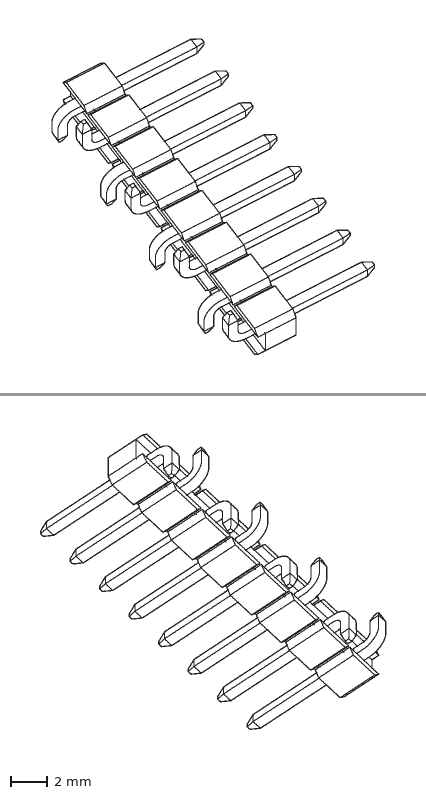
import cadquery as cq
import math

pin_count = 8
pitch = 2.55
row_length = pin_count * pitch
body_depth = 2.5
body_height = 2.5
core_depth = 2.01
core_height = 1.67
flange_height = (body_height - core_height) / 2
flange_gap = 0.1
flange_crest = 1.83

pin_width = 0.63
tip_width = 0.25
tip_length = 0.59
bend_inner_radius = 0.5
bend_outer_radius = bend_inner_radius + pin_width
bend_mid_radius = bend_inner_radius + pin_width / 2
overall_depth = 9.65
overall_height = 4.8

leg_face_y = 0.0
mating_tip_y = leg_face_y + overall_depth
leg_center_y = leg_face_y + pin_width / 2
bend_start_y = leg_face_y + bend_outer_radius
body_back_y = leg_face_y + 3.82


def segment_center(index):
    """X position of one segment and its pin, with the row centred on X = 0."""
    return (index - (pin_count - 1) / 2) * pitch


def make_core():
    """Continuous bar that carries all the pins."""
    return (
        cq.Workplane("XY")
        .box(row_length, core_depth, core_height)
        .translate((0, body_back_y - core_depth / 2, 0))
    )


def make_flange(index, side):
    """Tapered flange above (side = 1) or below (side = -1) the core, overhanging its front."""
    base_z = side * core_height / 2
    crest_z = side * (core_height / 2 + flange_height)
    left_x = -pitch / 2 if index == 0 else (flange_gap - pitch) / 2
    right_x = pitch / 2 if index == pin_count - 1 else (pitch - flange_gap) / 2
    return (
        cq.Workplane("XZ", origin=(segment_center(index), body_back_y, 0))
        .moveTo(left_x, base_z)
        .lineTo(-flange_crest / 2, crest_z)
        .lineTo(flange_crest / 2, crest_z)
        .lineTo(right_x, base_z)
        .close()
        .extrude(body_depth)
    )


def make_tip(base_plane):
    """Square pyramid frustum that ends a pin, growing along the plane normal."""
    return (
        cq.Workplane(base_plane)
        .rect(pin_width, pin_width)
        .workplane(offset=tip_length)
        .rect(tip_width, tip_width)
        .loft()
    )


def make_pin(center_x, side):
    """Pin along Y whose leg bends up (side = 1) or down (side = -1)."""
    shank_end_y = mating_tip_y - tip_length
    leg_end_z = side * (overall_height / 2 - tip_length)
    bend_center_z = side * bend_mid_radius
    arc_middle_offset = bend_mid_radius * math.sin(math.radians(45))

    path = (
        cq.Workplane("YZ", origin=(center_x, 0, 0))
        .moveTo(shank_end_y, 0)
        .lineTo(bend_start_y, 0)
        .threePointArc(
            (bend_start_y - arc_middle_offset, bend_center_z - side * arc_middle_offset),
            (leg_center_y, bend_center_z),
        )
        .lineTo(leg_center_y, leg_end_z)
    )
    shank = (
        cq.Workplane("XZ", origin=(center_x, shank_end_y, 0))
        .rect(pin_width, pin_width)
        .sweep(path)
    )
    mating_tip = make_tip(
        cq.Plane(origin=(center_x, shank_end_y, 0), xDir=(1, 0, 0), normal=(0, 1, 0))
    )
    leg_tip = make_tip(
        cq.Plane(origin=(center_x, leg_center_y, leg_end_z), xDir=(1, 0, 0), normal=(0, 0, side))
    )
    return shank.union(mating_tip).union(leg_tip)


result = make_core()
for index in range(pin_count):
    segment_x = segment_center(index)
    leg_side = -1 if index % 2 == 0 else 1
    for flange_side in (-1, 1):
        result = result.union(make_flange(index, flange_side))
    result = result.union(make_pin(segment_x, leg_side))